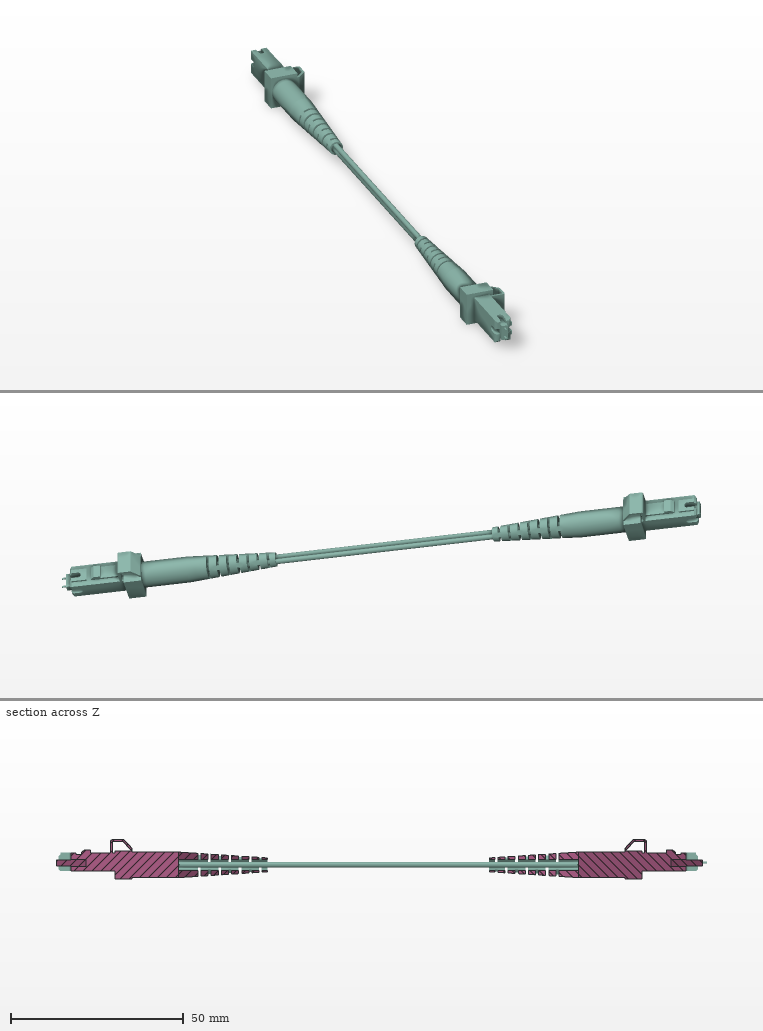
import cadquery as cq
import math

overall_length = 188.5

ferrule_tip_x = -93.4
plug_tip_x = -92.6
collar_front_x = -76.4
collar_rear_x = -71.3
housing_rear_x = -57.9
boot_rear_x = -32.0

sleeve_radius = 3.8
plug_half_height = 3.5
plug_bottom_y = -1.9
plug_top_y = 3.0
plug_mid_y = (plug_bottom_y + plug_top_y) / 2
tip_chamfer = 0.5
collar_width = 8.3
collar_height = 9.8
collar_bottom_y = -collar_width / 2
collar_top_y = collar_width / 2

rail_half_height = 1.98
rail_top_y = 3.5
rail_front_x = plug_tip_x + tip_chamfer
rail_gap_front_x = -87.5
rail_gap_rear_x = -86.2
catch_top_y = 4.3
catch_crest_front_x = -85.2
catch_crest_rear_x = -83.4

slot_width = 1.7
slot_length = 3.4

overall_width = 11.5
latch_top_y = collar_bottom_y + overall_width
latch_front_x = -77.7
latch_knee_x = -73.7
latch_foot_y = 4.7
latch_thickness = 0.66
latch_corner_radius = 0.5

ferrule_width = 1.9
ferrule_height = 4.5
ferrule_rear_x = -84.9
male_ferrule_extra = 0.5
pin_radius = 0.28
pin_spacing = 2.8
pin_hole_depth = 2.8
pin_tip_x = -(overall_length + ferrule_tip_x)

strand_radius = 0.77
boot_rear_radius = 2.0
boot_bore_radius = 2 * strand_radius
ring_slot_count = 7
ring_slot_width = 0.8
first_ring_slot_x = -51.9
last_ring_slot_x = -34.1
ring_slot_pitch = (last_ring_slot_x - first_ring_slot_x) / (ring_slot_count - 1)
bridge_width = 1.3
bridge_angle = 45.0


def block(x0, x1, y0, y1, z_size):
    """Box between two X and two Y positions, centred on Z = 0."""
    middle = ((x0 + x1) / 2, (y0 + y1) / 2, 0)
    return cq.Workplane("XY").box(x1 - x0, y1 - y0, z_size).translate(middle)


def rod(x0, x1, radius, z=0.0):
    """Round bar along X at height z."""
    return cq.Workplane("YZ", origin=(x0, 0, z)).circle(radius).extrude(x1 - x0)


def at_far_end(body):
    """Turn a body from the -X end round to the +X end."""
    return body.rotate((0, 0, 0), (0, 1, 0), 180)


def prism(points, height):
    """Closed XY outline extruded to both sides of Z = 0."""
    return cq.Workplane("XY").polyline(points).close().extrude(height / 2, both=True)


def make_rail():
    """Front stub, gap, then a rail that starts with a ramped catch and runs to the collar."""
    height = 2 * rail_half_height
    stub = block(rail_front_x, rail_gap_front_x, plug_top_y, rail_top_y, height)
    rail = prism(
        [
            (rail_gap_rear_x, plug_top_y),
            (rail_gap_rear_x, rail_top_y),
            (catch_crest_front_x, catch_top_y),
            (catch_crest_rear_x, catch_top_y),
            (catch_crest_rear_x, rail_top_y),
            (collar_front_x, rail_top_y),
            (collar_front_x, plug_top_y),
        ],
        height,
    )
    return stub, rail


def make_latch():
    """Bent strip of even thickness from the plug up, over the collar and down to its rear edge."""
    slope = math.atan2(latch_top_y - latch_foot_y, collar_rear_x - latch_knee_x)
    inner_front_x = latch_front_x + latch_thickness
    inner_top_y = latch_top_y - latch_thickness
    inner_knee_x = latch_knee_x - latch_thickness * math.tan(slope / 2)
    foot_rise = latch_foot_y - collar_top_y
    inner_foot_x = collar_rear_x - latch_thickness / math.sin(slope) + foot_rise / math.tan(slope)
    strip = prism(
        [
            (latch_front_x, plug_top_y),
            (latch_front_x, latch_top_y),
            (latch_knee_x, latch_top_y),
            (collar_rear_x, latch_foot_y),
            (collar_rear_x, collar_top_y),
            (inner_foot_x, collar_top_y),
            (inner_knee_x, inner_top_y),
            (inner_front_x, inner_top_y),
            (inner_front_x, plug_top_y),
        ],
        2 * plug_half_height,
    )
    front_corner = cq.selectors.NearestToPointSelector((latch_front_x, latch_top_y, 0))
    return strip.edges("|Z").edges(front_corner).fillet(latch_corner_radius)


def make_keying_slots():
    """Round-ended slots through the plug tip, one pair along Y and one pair along Z."""
    reach = 2 * collar_height
    straight_end_x = plug_tip_x + slot_length - slot_width / 2
    straight = block(ferrule_tip_x, straight_end_x, -slot_width / 2, slot_width / 2, reach)
    round_end = cq.Workplane("XY").circle(slot_width / 2).extrude(reach / 2, both=True)
    along_z = straight.union(round_end.translate((straight_end_x, 0, 0)))
    along_y = along_z.rotate((0, 0, 0), (1, 0, 0), 90)
    return along_z.union(along_y).translate((0, plug_mid_y, 0))


def make_ferrule_block(tip_x):
    """Rectangular ferrule body, also used to cut its pocket in the housing."""
    half_width = ferrule_width / 2
    return block(tip_x, ferrule_rear_x, plug_mid_y - half_width, plug_mid_y + half_width, ferrule_height)


def make_housing():
    """Plug with rail, slots and ferrule pocket, then the collar, round sleeve and latch."""
    plug = block(plug_tip_x, collar_front_x, plug_bottom_y, plug_top_y, 2 * plug_half_height)
    housing = plug.faces("<X").chamfer(tip_chamfer)
    for piece in make_rail():
        housing = housing.union(piece)
    housing = housing.cut(make_keying_slots()).cut(make_ferrule_block(ferrule_tip_x))
    collar = block(collar_front_x, collar_rear_x, collar_bottom_y, collar_top_y, collar_height)
    sleeve = rod(collar_rear_x, housing_rear_x, sleeve_radius)
    return housing.union(collar).union(sleeve).union(make_latch())


def make_guide_pins(tip_x, root_x):
    """Pair of pin-sized rods side by side along Z."""
    lower = rod(tip_x, root_x, pin_radius, -pin_spacing / 2)
    upper = rod(tip_x, root_x, pin_radius, pin_spacing / 2)
    return lower.union(upper).translate((0, plug_mid_y, 0))


def make_female_ferrule():
    """Ferrule with two blind guide-pin holes."""
    holes = make_guide_pins(ferrule_tip_x, ferrule_tip_x + pin_hole_depth)
    return make_ferrule_block(ferrule_tip_x).cut(holes)


def make_male_ferrule():
    """Longer ferrule with two projecting guide pins."""
    tip_x = ferrule_tip_x - male_ferrule_extra
    return make_ferrule_block(tip_x).union(make_guide_pins(pin_tip_x, ferrule_rear_x))


def make_ring_slot(x, angle):
    """Ring cut down to the bore, interrupted by a bridge on each side at the given angle about X."""
    x0 = x - ring_slot_width / 2
    x1 = x + ring_slot_width / 2
    bridge = block(x0, x1, -bridge_width / 2, bridge_width / 2, 2 * sleeve_radius)
    return rod(x0, x1, sleeve_radius).cut(bridge.rotate((0, 0, 0), (1, 0, 0), angle))


def make_boot():
    """Bored cone with ring slots whose bridges alternate between two diagonals."""
    profile = [
        (housing_rear_x, boot_bore_radius),
        (housing_rear_x, sleeve_radius),
        (boot_rear_x, boot_rear_radius),
        (boot_rear_x, boot_bore_radius),
    ]
    boot = cq.Workplane("XY").polyline(profile).close().revolve(360, (0, 0, 0), (1, 0, 0))
    for index in range(ring_slot_count):
        angle = bridge_angle if index % 2 == 0 else -bridge_angle
        boot = boot.cut(make_ring_slot(first_ring_slot_x + index * ring_slot_pitch, angle))
    return boot


def make_strand(z):
    """Round strand from one housing to the other."""
    return rod(housing_rear_x, -housing_rear_x, strand_radius, z)


housing = make_housing()
boot = make_boot()
housings = [housing, at_far_end(housing)]
boots = [boot, at_far_end(boot)]
female_ferrule = make_female_ferrule()
male_ferrule = at_far_end(make_male_ferrule())
strands = [make_strand(side * strand_radius) for side in (-1, 1)]

bodies = [*housings, *boots, female_ferrule, male_ferrule, *strands]
result = cq.Compound.makeCompound([body.val() for body in bodies])